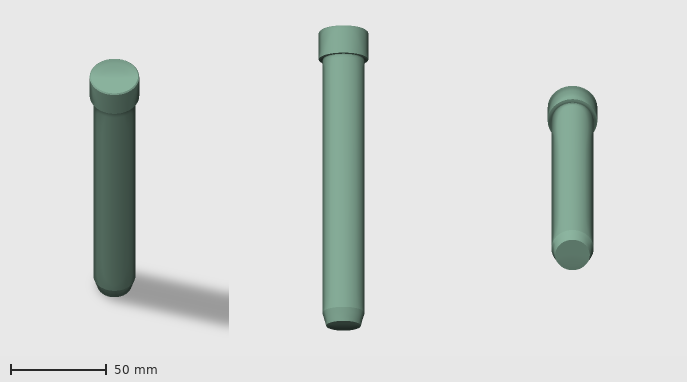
import cadquery as cq

total_length = 160.0

head_diameter = 26.0
head_height = 15.0
head_chamfer = 0.6

shank_diameter = 22.0
tip_diameter = 18.0
tip_length = 7.0

groove_depth = 0.2
groove_height = 1.0
groove_flank_height = 0.5

head_radius = head_diameter / 2
shank_radius = shank_diameter / 2
tip_radius = tip_diameter / 2
groove_radius = shank_radius - groove_depth
head_bottom = total_length - head_height
groove_bottom = head_bottom - groove_height

half_section = (
    cq.Workplane("XZ")
    .lineTo(tip_radius, 0)
    .lineTo(shank_radius, tip_length)
    .lineTo(shank_radius, groove_bottom)
    .lineTo(groove_radius, groove_bottom + groove_flank_height)
    .lineTo(groove_radius, head_bottom)
    .lineTo(head_radius, head_bottom)
    .lineTo(head_radius, total_length)
    .lineTo(0, total_length)
    .close()
)

pin = half_section.revolve(360, (0, 0, 0), (0, 1, 0))
result = pin.faces(">Z").edges().chamfer(head_chamfer)